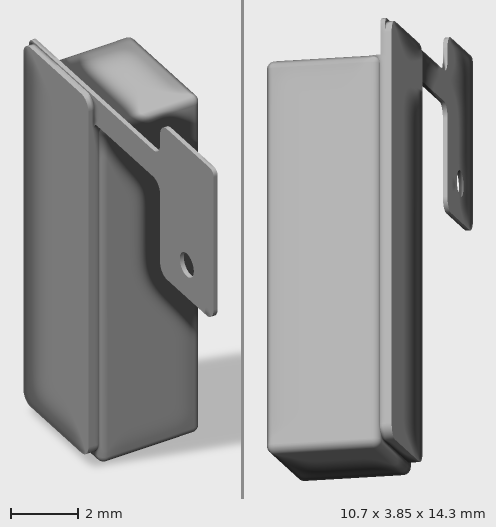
import cadquery as cq

body_width = 4.0
body_depth = 3.5
body_height = 12.0
body_round = 0.25

overall_width = 10.68
overall_height = 14.34

strip_thickness = 0.15
cover_thickness = 0.2

plate_inset = 0.15
plate_bottom = 0.3
cover_top = 13.09
plate_round = 0.4
small_round = 0.2

arm_top = 13.15
arm_height = 0.95
arm_root_round = 0.17

tab_width = 3.05
tab_height = 5.36
hole_diameter = 0.8
hole_height = 10.14

plate_right = body_width - plate_inset
arm_bottom = arm_top - arm_height
tab_left = overall_width - tab_width
tab_bottom = overall_height - tab_height
hole_x = tab_left + tab_width / 2


def slab(left, right, bottom, top, front, back):
    """Rectangular block between the given X, Z and Y limits."""
    return cq.Workplane("XY").box(
        right - left, back - front, top - bottom, centered=False
    ).translate((left, front, bottom))


def round_upright_edge(solid, x, z, radius):
    """Fillet the edge running along Y through the given X and Z."""
    edge = cq.selectors.NearestToPointSelector((x, -strip_thickness / 2, z))
    return solid.edges("|Y").edges(edge).fillet(radius)


def make_body():
    """Block with all edges rounded, filled out square behind the plate."""
    block = slab(0, body_width, 0, body_height, 0, body_depth).edges().fillet(body_round)
    backing = slab(plate_inset, plate_right, plate_bottom, body_height, 0, body_round)
    for x in (plate_inset, plate_right):
        backing = round_upright_edge(backing, x, plate_bottom, plate_round)
    return block.union(backing)


def make_strip():
    """Thin sheet: plate on the body, arm to the right and tab with a hole."""
    outline = [
        (plate_inset, plate_bottom),
        (plate_right, plate_bottom),
        (plate_right, arm_bottom),
        (tab_left, arm_bottom),
        (tab_left, tab_bottom),
        (overall_width, tab_bottom),
        (overall_width, overall_height),
        (tab_left, overall_height),
        (tab_left, arm_top),
        (plate_inset, arm_top),
    ]
    corner_rounds = [
        plate_round,
        plate_round,
        arm_root_round,
        plate_round,
        plate_round,
        plate_round,
        small_round,
        plate_round,
        plate_round,
        small_round,
    ]
    strip = cq.Workplane("XZ").polyline(outline).close().extrude(strip_thickness)
    for (x, z), radius in zip(outline, corner_rounds):
        strip = round_upright_edge(strip, x, z, radius)
    hole = (
        cq.Workplane("XZ")
        .center(hole_x, hole_height)
        .circle(hole_diameter / 2)
        .extrude(strip_thickness)
    )
    return strip.cut(hole)


def make_cover():
    """Rounded rectangular plate on the front of the strip."""
    back = -strip_thickness
    cover = slab(plate_inset, plate_right, plate_bottom, cover_top, back - cover_thickness, back)
    return cover.edges("|Y").fillet(plate_round)


result = make_body().union(make_strip()).union(make_cover())